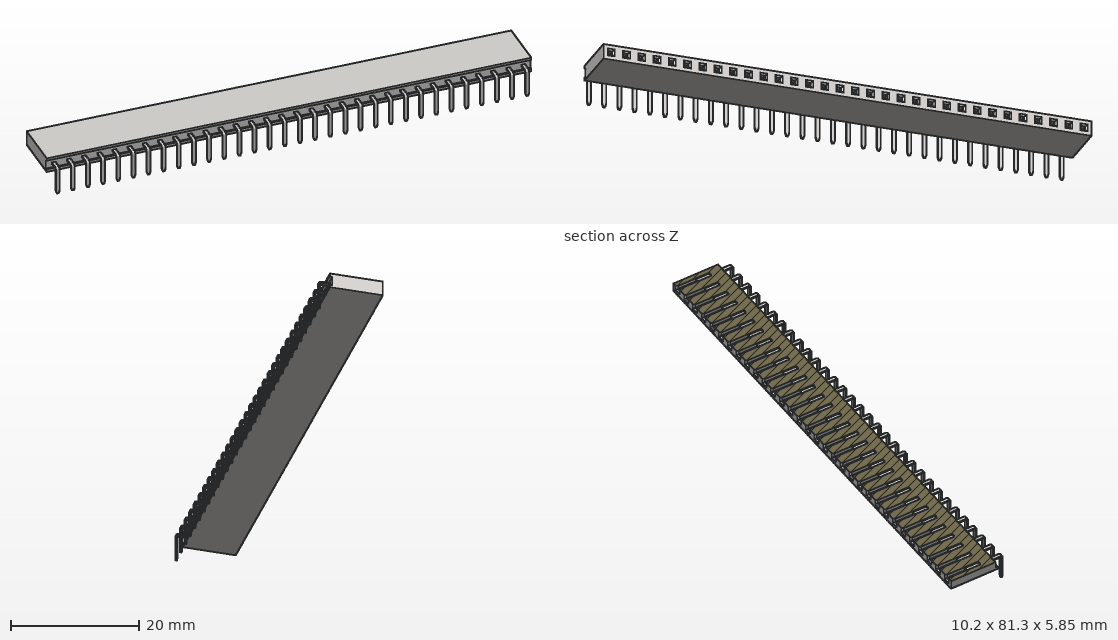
import cadquery as cq


contact_count = 32

overall_depth = 10.2
overall_height = 5.85
body_length = 81.3

body_depth = 8.6
body_height = 2.5
groove_depth = 0.3
lower_lip = 0.5
upper_lip_root = 0.65
upper_lip_edge = 0.4

mouth_size = 1.2
socket_size = 0.65
mouth_depth = 0.285
socket_depth = 6.0

pin_width = 0.63
pin_thickness = 0.25
bend_radius = 0.4
tip_length = 0.5
tip_width = 0.285
pin_reach = 2.4

body_bottom = overall_height - body_height
contact_height = body_bottom + body_height / 2
groove_floor = body_depth - groove_depth
pitch = body_length / contact_count
contact_positions = [(i - (contact_count - 1) / 2) * pitch for i in range(contact_count)]


def make_housing():
    """Long bar with a groove along its +X side; the groove's upper wall slopes up toward the outside."""
    profile = (
        cq.Workplane("XZ")
        .polyline([
            (0, body_bottom),
            (body_depth, body_bottom),
            (body_depth, body_bottom + lower_lip),
            (groove_floor, body_bottom + lower_lip),
            (groove_floor, overall_height - upper_lip_root),
            (body_depth, overall_height - upper_lip_edge),
            (body_depth, overall_height),
            (0, overall_height),
        ])
        .close()
    )
    return profile.extrude(body_length / 2, both=True)


def make_mating_hole():
    """Cutter for one hole, with its axis on y = 0."""
    mouth = (
        cq.Workplane("YZ", origin=(0, 0, contact_height))
        .rect(mouth_size, mouth_size)
        .workplane(offset=mouth_depth)
        .rect(socket_size, socket_size)
        .loft()
    )
    socket = (
        cq.Workplane("YZ", origin=(0, 0, contact_height))
        .rect(socket_size, socket_size)
        .extrude(socket_depth)
    )
    return mouth.union(socket)


def make_pin():
    """L-shaped flat pin, rooted in the housing, with a tapered tip; its axis is on y = 0."""
    pin_top = contact_height + pin_thickness / 2
    pin_bottom = contact_height - pin_thickness / 2
    inner_face = overall_depth - pin_thickness
    inner_radius = bend_radius - pin_thickness
    root = socket_depth - pin_reach
    strip = (
        cq.Workplane("XZ")
        .moveTo(root, pin_top)
        .lineTo(overall_depth - bend_radius, pin_top)
        .radiusArc((overall_depth, pin_top - bend_radius), bend_radius)
        .lineTo(overall_depth, 0)
        .lineTo(inner_face, 0)
        .lineTo(inner_face, pin_bottom - inner_radius)
        .radiusArc((inner_face - inner_radius, pin_bottom), -inner_radius)
        .lineTo(root, pin_bottom)
        .close()
        .extrude(pin_width / 2, both=True)
    )
    half_width = pin_width / 2
    half_tip = tip_width / 2
    width_outline = (
        cq.Workplane("YZ")
        .polyline([
            (-half_tip, 0),
            (half_tip, 0),
            (half_width, tip_length),
            (half_width, overall_height),
            (-half_width, overall_height),
            (-half_width, tip_length),
        ])
        .close()
        .extrude(overall_depth)
    )
    return strip.intersect(width_outline)


def repeat_along_row(shape):
    """One copy of the shape at every contact position."""
    solid = shape.val()
    copies = [solid.translate(cq.Vector(0, y, 0)) for y in contact_positions]
    return cq.Workplane("XY").newObject([cq.Compound.makeCompound(copies)])


housing = make_housing().cut(repeat_along_row(make_mating_hole()))
result = housing.union(repeat_along_row(make_pin()))